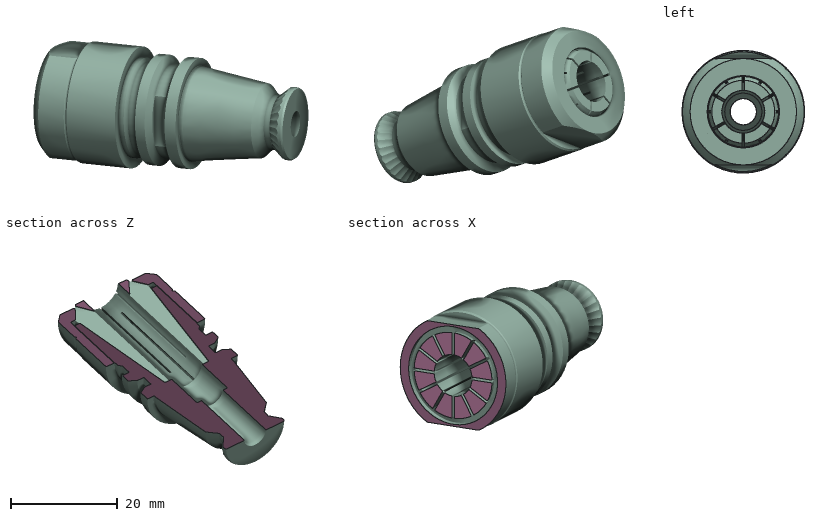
import cadquery as cq
import math


TOTAL_LENGTH = 49.45
FULL_TURN = 360.0

COLLET_LENGTH = 27.5
COLLET_FACE_DIA = 11.75
COLLET_MAX_DIA = 16.8
COLLET_BORE_DIA = 8.0
COLLET_NOSE_ANGLE = 35.0
COLLET_TAPER_ANGLE = 8.0
NOSE_SLOPE = math.tan(math.radians(COLLET_NOSE_ANGLE))
TAPER_SLOPE = math.tan(math.radians(COLLET_TAPER_ANGLE))
NOSE_LENGTH = (COLLET_MAX_DIA - COLLET_FACE_DIA) / 2 / NOSE_SLOPE
SLIT_COUNT = 6
SLIT_WIDTH = 0.45
SLIT_PITCH = FULL_TURN / SLIT_COUNT
FRONT_SLIT_BORE_END = 22.45
FRONT_SLIT_OUTER_END = 24.15
REAR_SLIT_BORE_START = 3.85
REAR_SLIT_OUTER_START = 0.45

NUT_FACE_X = 0.65
NUT_LENGTH = 16.95
NUT_END_X = NUT_FACE_X + NUT_LENGTH
NUT_DIA = 23.0
NUT_FRONT_DIA = 22.8
NUT_FACE_DIA = 19.95
NUT_FACE_CHAMFER = 1.5
NUT_FLAT_WIDTH = 19.95
GROOVE_X = 7.55
GROOVE_DEPTH = 0.3
NUT_MOUTH_DIA = 13.55
NUT_SEAT_DIA = 13.2
THREAD_DIA = 19.0

HOLDER_FRONT_X = 4.7
THREAD_END_X = 18.6
BODY_DIA = 17.8
FLANGE_DIA = 21.0
FLANGE_X = 21.25
FLANGE_END_X = 29.45
FRONT_RIM_END_X = 23.2
GRIP_X = 24.15
GRIP_END_X = 26.3
REAR_RIM_X = 27.2
GRIP_DIA = 17.9
GRIP_FLAT_WIDTH = 15.05
COLLAR_DIA = 17.85
COLLAR_CHAMFER = 0.15
TAPER_X = 30.3
TAPER_DIA = 17.8
TAPER_END_X = 43.3
TAPER_END_DIA = 14.15
NECK_DIA = 10.5
NECK_X = 45.1
COUNTERBORE_DIA = 7.0
COUNTERBORE_END_X = 35.6
THROUGH_DIA = 4.9

HEAD_DIA = 13.8
HEAD_X = 46.25
HEAD_EDGE_CHAMFER_LENGTH = 0.35
HEAD_EDGE_CHAMFER_DEPTH = 0.2
HEAD_RIM_X = 48.25
VALLEY_RIM_X = 48.55
FLUTE_COUNT = 28


def turned(points):
    """Revolve an outline of (X, radius) points about the X axis."""
    return cq.Workplane("XY").polyline(points).close().revolve(FULL_TURN, (0, 0, 0), (1, 0, 0))


def bar(start_x, end_x, dia):
    """Round bar on the X axis."""
    return cq.Workplane("YZ", origin=(start_x, 0, 0)).circle(dia / 2).extrude(end_x - start_x)


def slab(start_x, end_x, width, height):
    """Block centred on the X axis, with its width along Y and its height along Z."""
    return cq.Workplane("YZ", origin=(start_x, 0, 0)).rect(width, height).extrude(end_x - start_x)


def collet_radius(x):
    """Radius of the collet's rear taper."""
    return COLLET_MAX_DIA / 2 - (x - NOSE_LENGTH) * TAPER_SLOPE


def slit(outline, angle):
    """Thin plate with an (X, radius) outline, turned about the X axis from the +Y direction."""
    plate = cq.Workplane("XY").polyline(outline).close().extrude(SLIT_WIDTH / 2, both=True)
    return plate.rotate((0, 0, 0), (1, 0, 0), angle)


def make_collet():
    bore = COLLET_BORE_DIA / 2
    body = turned([
        (0, bore),
        (0, COLLET_FACE_DIA / 2),
        (NOSE_LENGTH, COLLET_MAX_DIA / 2),
        (COLLET_LENGTH, collet_radius(COLLET_LENGTH)),
        (COLLET_LENGTH, bore),
    ])
    inner = bore / 2
    outer = COLLET_MAX_DIA
    nose_radius = COLLET_FACE_DIA / 2 + REAR_SLIT_OUTER_START * NOSE_SLOPE
    taper_radius = collet_radius(FRONT_SLIT_OUTER_END)
    front_slope = (FRONT_SLIT_OUTER_END - FRONT_SLIT_BORE_END) / (taper_radius - bore)
    rear_slope = (REAR_SLIT_OUTER_START - REAR_SLIT_BORE_START) / (nose_radius - bore)
    front_outline = [
        (0, inner),
        (0, outer),
        (FRONT_SLIT_BORE_END + (outer - bore) * front_slope, outer),
        (FRONT_SLIT_BORE_END + (inner - bore) * front_slope, inner),
    ]
    rear_outline = [
        (REAR_SLIT_BORE_START + (inner - bore) * rear_slope, inner),
        (REAR_SLIT_BORE_START + (outer - bore) * rear_slope, outer),
        (COLLET_LENGTH, outer),
        (COLLET_LENGTH, inner),
    ]
    for i in range(SLIT_COUNT):
        rear_angle = i * SLIT_PITCH
        body = body.cut(slit(rear_outline, rear_angle))
        body = body.cut(slit(front_outline, rear_angle + SLIT_PITCH / 2))
    return body


def make_nut():
    seat_x = (NUT_SEAT_DIA - COLLET_FACE_DIA) / 2 / NOSE_SLOPE
    front = turned([
        (NUT_FACE_X, 0),
        (NUT_FACE_X, NUT_FACE_DIA / 2),
        (NUT_FACE_X + NUT_FACE_CHAMFER, NUT_FRONT_DIA / 2),
        (GROOVE_X - GROOVE_DEPTH, NUT_FRONT_DIA / 2),
        (GROOVE_X, NUT_FRONT_DIA / 2 - GROOVE_DEPTH),
        (GROOVE_X, 0),
    ]).intersect(slab(NUT_FACE_X, GROOVE_X, NUT_DIA, NUT_FLAT_WIDTH))
    rear = turned([
        (GROOVE_X, 0),
        (GROOVE_X, NUT_DIA / 2 - GROOVE_DEPTH),
        (GROOVE_X + GROOVE_DEPTH, NUT_DIA / 2),
        (NUT_END_X, NUT_DIA / 2),
        (NUT_END_X, 0),
    ])
    cavity = turned([
        (NUT_FACE_X, 0),
        (NUT_FACE_X, NUT_MOUTH_DIA / 2),
        (seat_x, NUT_SEAT_DIA / 2),
        (NOSE_LENGTH, COLLET_MAX_DIA / 2),
        (NOSE_LENGTH, THREAD_DIA / 2),
        (NUT_END_X, THREAD_DIA / 2),
        (NUT_END_X, 0),
    ])
    return front.union(rear).cut(cavity)


def make_fluted_head():
    """Head whose conical back is scalloped by conical flutes that share one apex on the X axis."""
    rim = HEAD_DIA / 2
    neck = NECK_DIA / 2
    crest_slope = (rim - neck) / (HEAD_RIM_X - HEAD_X)
    apex_x = HEAD_X - neck / crest_slope
    crest = math.atan(crest_slope)
    valley = math.atan(rim / (VALLEY_RIM_X - apex_x))
    half_pitch = math.pi / FLUTE_COUNT

    crest_along = math.cos(crest)
    crest_out = math.sin(crest) * math.cos(half_pitch)
    flute_half_angle = math.atan(
        (1 - math.cos(valley) * crest_along - math.sin(valley) * crest_out)
        / (math.cos(valley) * crest_out - math.sin(valley) * crest_along)
    )
    axis_angle = valley + flute_half_angle
    flute_length = TOTAL_LENGTH - apex_x + rim

    head = turned([
        (HEAD_X, 0),
        (HEAD_X, neck),
        (HEAD_RIM_X, rim),
        (TOTAL_LENGTH - HEAD_EDGE_CHAMFER_LENGTH, rim),
        (TOTAL_LENGTH, rim - HEAD_EDGE_CHAMFER_DEPTH),
        (TOTAL_LENGTH, 0),
    ])
    flute = cq.Workplane(cq.Solid.makeCone(
        0,
        flute_length * math.tan(flute_half_angle),
        flute_length,
        cq.Vector(apex_x, 0, 0),
        cq.Vector(math.cos(axis_angle), math.sin(axis_angle), 0),
    ))
    for i in range(FLUTE_COUNT):
        head = head.cut(flute.rotate((0, 0, 0), (1, 0, 0), i * FULL_TURN / FLUTE_COUNT))
    return head


def make_holder():
    thread_chamfer = (THREAD_DIA - BODY_DIA) / 2
    body = turned([
        (HOLDER_FRONT_X, 0),
        (HOLDER_FRONT_X, THREAD_DIA / 2),
        (THREAD_END_X, THREAD_DIA / 2),
        (THREAD_END_X + thread_chamfer, BODY_DIA / 2),
        (FLANGE_X, BODY_DIA / 2),
        (FLANGE_X, FLANGE_DIA / 2),
        (FRONT_RIM_END_X, FLANGE_DIA / 2),
        (GRIP_X, GRIP_DIA / 2),
        (GRIP_END_X, GRIP_DIA / 2),
        (REAR_RIM_X, FLANGE_DIA / 2),
        (FLANGE_END_X, FLANGE_DIA / 2),
        (FLANGE_END_X, COLLAR_DIA / 2 + COLLAR_CHAMFER),
        (FLANGE_END_X + COLLAR_CHAMFER, COLLAR_DIA / 2),
        (TAPER_X - COLLAR_CHAMFER, COLLAR_DIA / 2),
        (TAPER_X, TAPER_DIA / 2),
        (TAPER_END_X, TAPER_END_DIA / 2),
        (NECK_X, NECK_DIA / 2),
        (HEAD_X, NECK_DIA / 2),
        (HEAD_X, 0),
    ])
    grip_core = slab(GRIP_X, GRIP_END_X, GRIP_FLAT_WIDTH, GRIP_DIA)
    grip_waste = bar(GRIP_X, GRIP_END_X, GRIP_DIA).cut(grip_core)
    socket = turned([
        (HOLDER_FRONT_X, 0),
        (HOLDER_FRONT_X, collet_radius(HOLDER_FRONT_X)),
        (COLLET_LENGTH, collet_radius(COLLET_LENGTH)),
        (COLLET_LENGTH, 0),
    ])
    counterbore = bar(COLLET_LENGTH, COUNTERBORE_END_X, COUNTERBORE_DIA)
    through_hole = bar(HOLDER_FRONT_X, TOTAL_LENGTH, THROUGH_DIA)
    body = body.cut(grip_waste).union(make_fluted_head())
    return body.cut(socket).cut(counterbore).cut(through_hole)


collet = make_collet().solids()
nut = make_nut().solids()
holder = make_holder().solids()

result = cq.Compound.makeCompound([collet.val(), nut.val(), holder.val()])